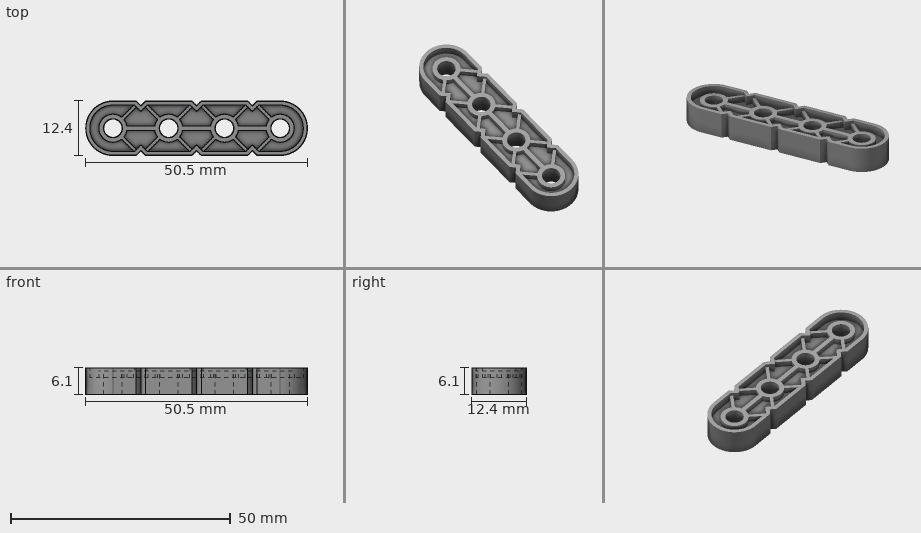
import cadquery as cq
import math

HOLE_COUNT = 4
PITCH = 12.7
WIDTH = 12.4
HEIGHT = 6.1
WALL = 0.93
HOLE_DIAMETER = 4.2
BOSS_DIAMETER = 6.4
NOTCH_DEPTH = 1.08
FLOOR_TOP = 3.85
BOSS_TOP = 5.35
SPINE_RIB_WIDTH = 1.05
DIAGONAL_RIB_WIDTH = 0.77
DIAGONAL_RIB_ANGLE = 45

HOLE_SPAN = (HOLE_COUNT - 1) * PITCH
HOLE_XS = [i * PITCH - HOLE_SPAN / 2 for i in range(HOLE_COUNT)]
NOTCH_XS = [x + PITCH / 2 for x in HOLE_XS[:-1]]
HOLE_POINTS = [(x, 0) for x in HOLE_XS]
RIB_HEIGHT = BOSS_TOP - FLOOR_TOP
INNER_NOTCH_DEPTH = NOTCH_DEPTH + WALL * math.sqrt(2) - WALL


def notched_beam(width, notch_depth, bottom, top):
    """Round-ended bar with a pair of V notches midway between neighbouring holes."""
    bar = (
        cq.Workplane("XY", origin=(0, 0, bottom))
        .slot2D(HOLE_SPAN + width, width)
        .extrude(top - bottom)
    )
    for x in NOTCH_XS:
        for side in (-1, 1):
            edge = side * width / 2
            notch = (
                cq.Workplane("XY", origin=(0, 0, bottom))
                .moveTo(x - notch_depth, edge)
                .lineTo(x, edge - side * notch_depth)
                .lineTo(x + notch_depth, edge)
                .close()
                .extrude(top - bottom)
            )
            bar = bar.cut(notch)
    return bar


def floor_rib(start_x, angle, length, width):
    """Straight rib on the floor, running from a boss centre at the given angle."""
    return (
        cq.Workplane("XY")
        .box(length, width, RIB_HEIGHT, centered=(False, True, False))
        .rotate((0, 0, 0), (0, 0, 1), angle)
        .translate((start_x, 0, FLOOR_TOP))
    )


def bosses():
    """Round bosses around the holes."""
    return (
        cq.Workplane("XY", origin=(0, 0, FLOOR_TOP))
        .pushPoints(HOLE_POINTS)
        .circle(BOSS_DIAMETER / 2)
        .extrude(RIB_HEIGHT)
    )


def ribs():
    """Spine rib and diagonal ribs toward the notches, left overlong to be trimmed at the wall."""
    web = floor_rib(HOLE_XS[0], 0, HOLE_SPAN, SPINE_RIB_WIDTH)
    for side in (-1, 1):
        angle = side * DIAGONAL_RIB_ANGLE
        for x in HOLE_XS[:-1]:
            web = web.union(floor_rib(x, angle, WIDTH, DIAGONAL_RIB_WIDTH))
        for x in HOLE_XS[1:]:
            web = web.union(floor_rib(x, 180 - angle, WIDTH, DIAGONAL_RIB_WIDTH))
    return web


def through_holes():
    """Cutters for the holes through floor and bosses."""
    return (
        cq.Workplane("XY")
        .pushPoints(HOLE_POINTS)
        .circle(HOLE_DIAMETER / 2)
        .extrude(HEIGHT)
    )


outer = notched_beam(WIDTH, NOTCH_DEPTH, 0, HEIGHT)
tray = notched_beam(WIDTH - 2 * WALL, INNER_NOTCH_DEPTH, FLOOR_TOP, HEIGHT)
framework = bosses().union(ribs()).intersect(tray)

result = outer.cut(tray).union(framework).cut(through_holes())